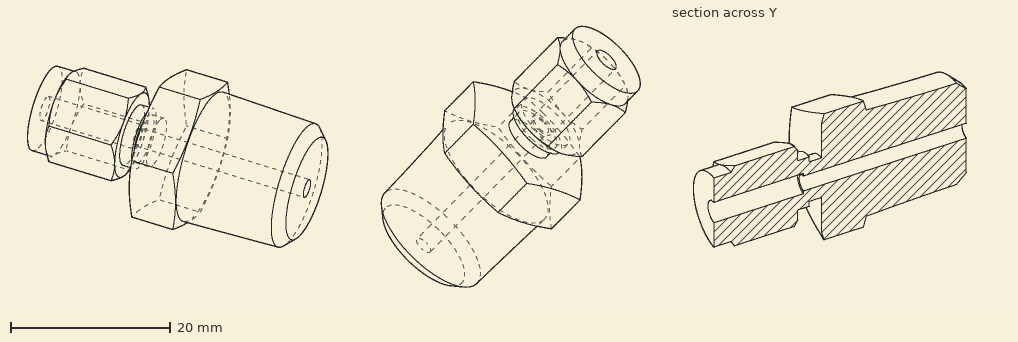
import cadquery as cq
import math

total_length = 35.8
collar_end = 2.45
nut_end = 11.92
shoulder_end = 13.55
body_hex_start = 15.25
body_hex_end = 21.6
thread_start = 22.02

nut_across_flats = 11.1
nut_chamfer_angle = 30.0

body_across_flats = 17.48
body_chamfer_angle = 15.0

shoulder_diameter = 7.95
neck_diameter = 6.4

thread_diameter = 17.0
thread_taper = 1 / 16
tip_chamfer = 1.4

tube_diameter = 3.2
tube_depth = 12.7
bore_diameter = 2.33


def cylinder_x(start, end, diameter):
    """Round bar along X between two stations."""
    return cq.Workplane("YZ", origin=(start, 0, 0)).circle(diameter / 2).extrude(end - start)


def hexagon_x(start, end, across_flats, chamfer_angle):
    """Hexagonal bar along X, corners up and down in Z, with both ends turned to a cone."""
    corner_diameter = across_flats / math.cos(math.radians(30))
    bar = (
        cq.Workplane("YZ", origin=(start, 0, 0))
        .transformed(rotate=(0, 0, 90))
        .polygon(6, corner_diameter)
        .extrude(end - start)
    )
    face_radius = across_flats / 2
    corner_radius = corner_diameter / 2
    chamfer_length = (corner_radius - face_radius) * math.tan(math.radians(chamfer_angle))
    envelope = (
        cq.Workplane("XY")
        .moveTo(start, 0)
        .lineTo(start, face_radius)
        .lineTo(start + chamfer_length, corner_radius)
        .lineTo(end - chamfer_length, corner_radius)
        .lineTo(end, face_radius)
        .lineTo(end, 0)
        .close()
        .revolve(360, (0, 0, 0), (1, 0, 0))
    )
    return bar.intersect(envelope)


def threaded_end():
    """Short straight run behind the hexagon, then the taper and its 45 degree tip chamfer."""
    root_radius = thread_diameter / 2
    taper_end = total_length - tip_chamfer
    taper_end_radius = root_radius - (taper_end - thread_start) * thread_taper / 2
    return (
        cq.Workplane("XY")
        .moveTo(body_hex_end, 0)
        .lineTo(body_hex_end, root_radius)
        .lineTo(thread_start, root_radius)
        .lineTo(taper_end, taper_end_radius)
        .lineTo(total_length, taper_end_radius - tip_chamfer)
        .lineTo(total_length, 0)
        .close()
        .revolve(360, (0, 0, 0), (1, 0, 0))
    )


collar = cylinder_x(0, collar_end, nut_across_flats)
nut = hexagon_x(collar_end, nut_end, nut_across_flats, nut_chamfer_angle)
shoulder = cylinder_x(nut_end, shoulder_end, shoulder_diameter)
neck = cylinder_x(shoulder_end, body_hex_start, neck_diameter)
body_hex = hexagon_x(body_hex_start, body_hex_end, body_across_flats, body_chamfer_angle)

fitting = collar.union(nut).union(shoulder).union(neck).union(body_hex).union(threaded_end())

tube_socket = cylinder_x(0, tube_depth, tube_diameter)
through_bore = cylinder_x(0, total_length, bore_diameter)
result = fitting.cut(tube_socket).cut(through_bore)